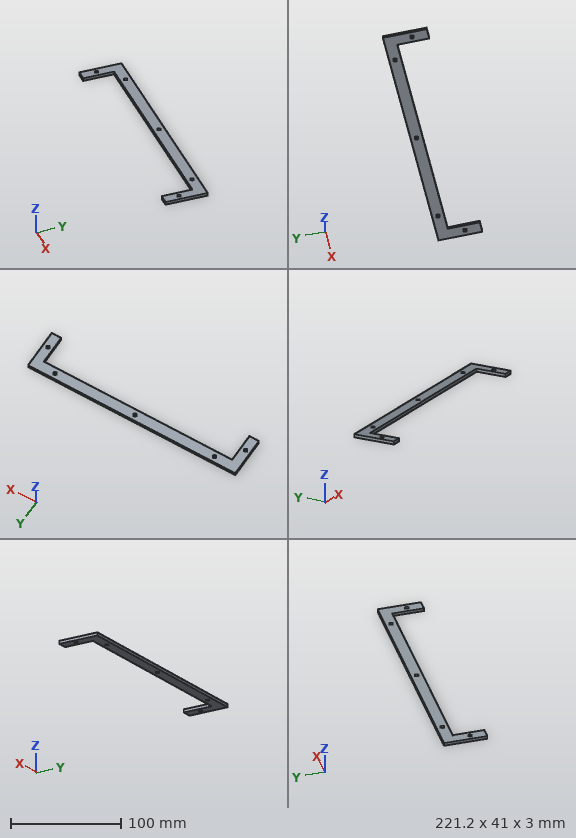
import cadquery as cq

length = 221.2
depth = 41.0
thickness = 3.0

rail_width = 11.0
leg_width = 10.2

hole_diameter = 3.3
rail_hole_spacing = 85.2
leg_hole_from_tip = 14.8

opening_length = length - 2 * leg_width
opening_depth = depth - rail_width
plate = cq.Workplane("XY").box(length, depth, thickness)
opening = (
    cq.Workplane("XY")
    .box(opening_length, opening_depth, thickness)
    .translate((0, -rail_width / 2, 0))
)
frame = plate.cut(opening)

rail_hole_y = depth / 2 - rail_width / 2
leg_hole_x = length / 2 - leg_width / 2
leg_hole_y = -depth / 2 + leg_hole_from_tip
hole_centres = [(0, rail_hole_y)]
for side in (-1, 1):
    hole_centres.append((side * rail_hole_spacing, rail_hole_y))
    hole_centres.append((side * leg_hole_x, leg_hole_y))

result = (
    frame.faces(">Z")
    .workplane(origin=(0, 0, 0))
    .pushPoints(hole_centres)
    .hole(hole_diameter)
)